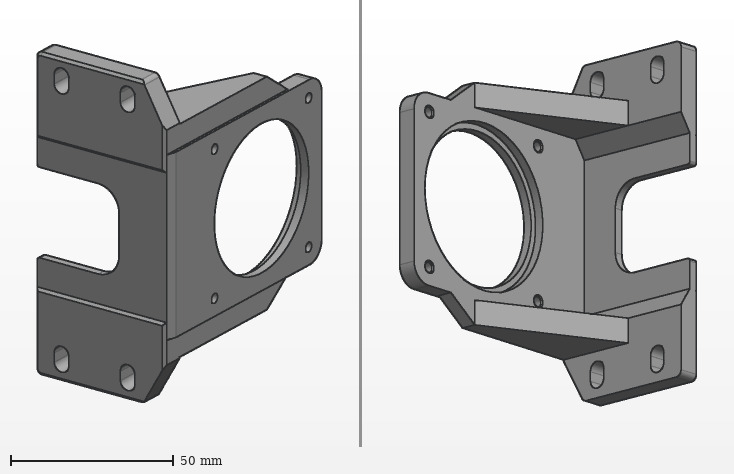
import cadquery as cq

foot_length = 108.0
foot_width = 49.0
foot_thickness = 8.0
foot_corner_radius = 2.0
bevel_width = 8.3
bevel_height = 14.7

pad_height = 1.0
pad_inner_z = 25.1

thin_back_y = 4.0

slot_width = 5.5
slot_length = 8.6
slot_x = (9.9, 35.0)
slot_z = 46.5

notch_half_height = 15.1
notch_depth = 31.0
notch_radius = 8.0
notch_mouth_radius = 1.0

wall_outer_x = 50.0
wall_thickness = 6.0
wall_inner_x = wall_outer_x - wall_thickness
wall_top_y = 82.0
wall_half_height = 31.0
wall_corner_radius = 6.5
lip_full_y = 4.5

rib_thickness = 8.0
rib_outer_z = wall_half_height + rib_thickness
rib_foot_x = 22.0
rib_top_y = 54.2
flare_top_y = 65.1

bore_y = 50.0
bore_diameter = 50.0
recess_diameter = 54.0
recess_depth = 3.0
screw_diameter = 3.2
screw_chamfer = 0.4
screw_half_pitch = 25.0


def front_plane(y):
    return cq.Workplane("XZ", origin=(0, y, 0))


def box(x_range, y_range, z_range):
    sizes = [high - low for low, high in (x_range, y_range, z_range)]
    return cq.Workplane("XY").box(*sizes, centered=False).translate((x_range[0], y_range[0], z_range[0]))


def make_foot():
    half = foot_length / 2
    outline = (
        front_plane(0)
        .polyline([
            (0, -half),
            (foot_width - bevel_width, -half),
            (foot_width, -half + bevel_height),
            (foot_width, half - bevel_height),
            (foot_width - bevel_width, half),
            (0, half),
        ])
        .close()
        .extrude(-foot_thickness)
        .edges("|Y")
        .edges("<Z or >Z")
        .fillet(foot_corner_radius)
    )
    foot = outline.intersect(box((0, foot_width), (pad_height, foot_thickness), (-half, half)))
    pad = (
        box((0, foot_width), (0, foot_thickness), (pad_inner_z, half))
        .edges("|Y and <X and >Z")
        .fillet(foot_corner_radius)
        .faces("<Y")
        .chamfer(pad_height)
        .intersect(outline)
    )
    return foot.union(pad).union(pad.mirror("XY"))


def make_wall():
    base_y = pad_height
    panel = (
        box(
            (wall_inner_x, wall_outer_x),
            (base_y, wall_top_y),
            (-wall_half_height, wall_half_height),
        )
        .edges("|X and >Y")
        .fillet(wall_corner_radius)
    )
    taper = (
        cq.Workplane("XY")
        .polyline([(foot_width, base_y), (wall_outer_x, lip_full_y), (wall_outer_x, base_y)])
        .close()
        .extrude(wall_half_height, both=True)
    )
    flare = (
        cq.Workplane("YZ", origin=(wall_inner_x, 0, 0))
        .polyline([
            (foot_thickness, -rib_outer_z),
            (rib_top_y, -rib_outer_z),
            (flare_top_y, -wall_half_height),
            (flare_top_y, wall_half_height),
            (rib_top_y, rib_outer_z),
            (foot_thickness, rib_outer_z),
        ])
        .close()
        .extrude(foot_width - wall_inner_x)
    )
    return panel.cut(taper).union(flare)


def make_rib():
    return (
        cq.Workplane("XY", origin=(0, 0, wall_half_height))
        .polyline([
            (rib_foot_x, foot_thickness),
            (wall_inner_x, foot_thickness),
            (wall_inner_x, rib_top_y),
        ])
        .close()
        .extrude(rib_thickness)
    )


def make_back_relief():
    return (
        cq.Workplane("YZ")
        .polyline([
            (thin_back_y, -pad_inner_z),
            (foot_thickness, -wall_half_height),
            (foot_thickness, wall_half_height),
            (thin_back_y, pad_inner_z),
        ])
        .close()
        .extrude(wall_inner_x)
    )


def cut_notch(body):
    notch = (
        box((0, notch_depth), (0, foot_thickness), (-notch_half_height, notch_half_height))
        .edges("|Y and >X")
        .fillet(notch_radius)
    )
    tip_z = notch_half_height + notch_mouth_radius
    mouth = box((0, notch_mouth_radius), (0, foot_thickness), (-tip_z, tip_z))
    rounding = (
        front_plane(0)
        .pushPoints([(notch_mouth_radius, -tip_z), (notch_mouth_radius, tip_z)])
        .circle(notch_mouth_radius)
        .extrude(-foot_thickness)
    )
    return body.cut(notch).cut(mouth.cut(rounding))


def cut_slots(body):
    slots = (
        front_plane(0)
        .pushPoints([(x, z) for x in slot_x for z in (-slot_z, slot_z)])
        .slot2D(slot_length, slot_width, 90)
        .extrude(-foot_thickness)
    )
    return body.cut(slots)


def cut_bore_and_screw_holes(body):
    face = cq.Workplane("YZ", origin=(wall_inner_x, bore_y, 0))
    bore = face.circle(bore_diameter / 2).extrude(wall_thickness)
    recess = face.circle(recess_diameter / 2).extrude(recess_depth)
    screw = (
        face.circle(screw_diameter / 2)
        .extrude(wall_thickness)
        .union(
            face.circle(screw_diameter / 2 + screw_chamfer)
            .extrude(screw_chamfer, taper=45)
        )
    )
    body = body.cut(bore).cut(recess)
    for y in (-screw_half_pitch, screw_half_pitch):
        for z in (-screw_half_pitch, screw_half_pitch):
            body = body.cut(screw.translate((0, y, z)))
    return body


rib = make_rib()
bracket = make_foot().union(make_wall()).union(rib).union(rib.mirror("XY"))
bracket = bracket.cut(make_back_relief())
bracket = cut_notch(bracket)
bracket = cut_slots(bracket)
result = cut_bore_and_screw_holes(bracket)